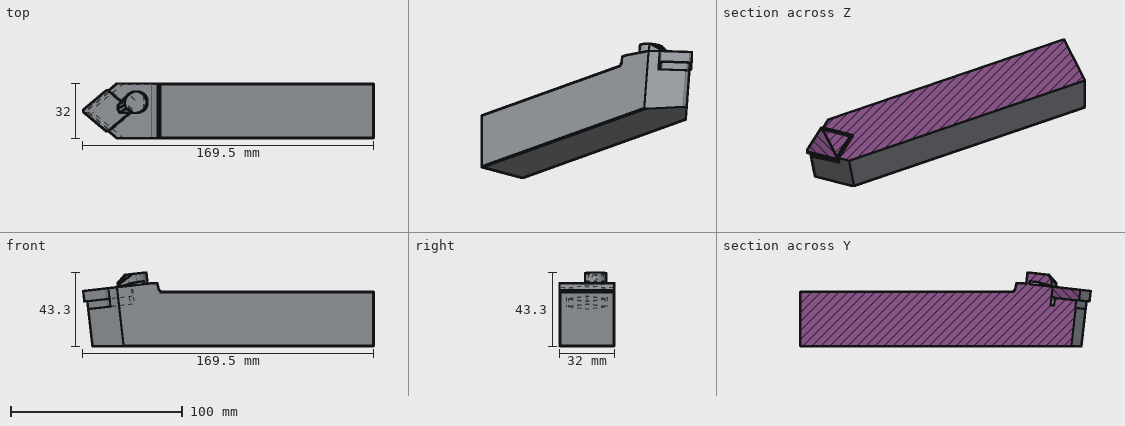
import cadquery as cq
import math

LENGTH = 169.5
WIDTH = 32.0
SHANK_HEIGHT = 32.0
SHANK_CHAMFER = 0.5

TILT = 6.5
TIP_HEIGHT = 32.4
HEAD_FLAT_START = 39.8
HEAD_FLAT_END = 43.4
HEAD_END = 44.3
FOOT_BEVEL = 1.0
HEAD_BASE = 8.5
HEAD_TOP = TIP_HEIGHT + HEAD_FLAT_START * math.tan(math.radians(TILT))

HALF_ANGLE = math.radians(40)
INSERT_INRADIUS = 9.5
INSERT_THICKNESS = 6.3
NOSE_RADIUS = 1.2
SHIM_INSET = 1.1
POINT_INSET = 0.93
SHIM_INRADIUS = INSERT_INRADIUS - SHIM_INSET
SHIM_THICKNESS = 4.5
POCKET_DEPTH = INSERT_THICKNESS + SHIM_THICKNESS
INSERT_CENTER = INSERT_INRADIUS / math.sin(HALF_ANGLE) - NOSE_RADIUS * (1 / math.sin(HALF_ANGLE) - 1)

POINT_RADIUS = 1.7
POINT_TIP = INSERT_CENTER - (INSERT_INRADIUS - POINT_INSET) / math.sin(HALF_ANGLE)
POINT_REACH = 220.5

CLAMP_X = 31.7
CLAMP_Y = 5.1
CLAMP_RADIUS = 6.3
CLAMP_TOP = 6.6
CLAMP_GAP = 1.5
HEEL_START = 35.8
ARM_NOSE_HEIGHT = 2.0
ARM_CONTACT_END = 22.0
ARM_SIDE_Y = CLAMP_Y - CLAMP_RADIUS
ARM_FOOT = [
    (27.3, 9.7),
    (20.5, 3.0),
    (20.3, 2.9),
    (20.3, 1.4),
    (21.7, ARM_SIDE_Y),
    (22.0, ARM_SIDE_Y),
    (CLAMP_X, ARM_SIDE_Y),
    (CLAMP_X, CLAMP_Y),
]
ARM_CROWN = [
    (27.3, 9.7),
    (26.8, 9.2),
    (26.6, 8.8),
    (25.5, 3.5),
    (26.1, 1.5),
    (30.0, ARM_SIDE_Y),
    (CLAMP_X, ARM_SIDE_Y),
    (CLAMP_X, CLAMP_Y),
]


def place_on_seat(body):
    """Move a body from seat coordinates (origin at the tip) to its tilted place."""
    return body.rotate((0, 0, 0), (0, 1, 0), -TILT).translate((0, 0, TIP_HEIGHT))


def rhombus(inradius, top, thickness):
    """Rhombic prism centred on the insert, hanging down from the given height."""
    half_length = inradius / math.sin(HALF_ANGLE)
    half_width = inradius / math.cos(HALF_ANGLE)
    corners = [(-half_length, 0), (0, -half_width), (half_length, 0), (0, half_width)]
    return (
        cq.Workplane("XY", origin=(INSERT_CENTER, 0, top))
        .polyline(corners).close().extrude(-thickness)
    )


def make_insert():
    blank = rhombus(INSERT_INRADIUS, 0, INSERT_THICKNESS)
    return place_on_seat(blank.edges("|Z").fillet(NOSE_RADIUS))


def make_blank():
    """Chamfered square shank with the raised head on its front end."""
    shank = (
        cq.Workplane("XY").box(LENGTH, WIDTH, SHANK_HEIGHT, centered=(False, True, False))
        .edges("|X or >X").chamfer(SHANK_CHAMFER)
    )
    head = (
        cq.Workplane("XZ", origin=(0, WIDTH / 2, 0))
        .polyline([
            (0, HEAD_BASE),
            (0, TIP_HEIGHT),
            (HEAD_FLAT_START, HEAD_TOP),
            (HEAD_FLAT_END, HEAD_TOP),
            (HEAD_END, SHANK_HEIGHT + FOOT_BEVEL),
            (HEAD_END + FOOT_BEVEL, SHANK_HEIGHT),
            (HEAD_END + FOOT_BEVEL, HEAD_BASE),
        ]).close().extrude(WIDTH)
    )
    return shank.union(head)


def make_point():
    """Long tilted wedge that trims the holder front to a rounded point."""
    half_width = POINT_REACH * math.tan(HALF_ANGLE)
    tail = POINT_TIP + POINT_REACH
    wedge = (
        cq.Workplane("XY").workplane(offset=-POINT_REACH / 2)
        .polyline([(POINT_TIP, 0), (tail, -half_width), (tail, half_width)]).close()
        .extrude(POINT_REACH)
        .edges("|Z and <X").fillet(POINT_RADIUS)
    )
    return place_on_seat(wedge)


def make_shim():
    shim = rhombus(SHIM_INRADIUS, -INSERT_THICKNESS, SHIM_THICKNESS)
    return place_on_seat(shim.edges("|Z").fillet(NOSE_RADIUS))


def make_arm():
    """Arm from the clamp disc to the insert, tapering down to a narrow nose."""
    nose = cq.Workplane("XY").polyline(ARM_FOOT).close().extrude(ARM_NOSE_HEIGHT)
    taper = (
        cq.Workplane("XY", origin=(0, 0, ARM_NOSE_HEIGHT)).polyline(ARM_FOOT).close()
        .workplane(offset=CLAMP_TOP - ARM_NOSE_HEIGHT).polyline(ARM_CROWN).close()
        .loft(ruled=True)
    )
    relief = (
        cq.Workplane("XZ", origin=(0, WIDTH / 2, 0))
        .polyline([(ARM_CONTACT_END, 0), (CLAMP_X, 0), (CLAMP_X, CLAMP_GAP)]).close()
        .extrude(WIDTH)
    )
    return nose.union(taper).cut(relief)


def make_clamp():
    """Clamp disc that stands on its rear heel and reaches the insert with its arm."""
    cylinder = cq.Workplane("XY", origin=(CLAMP_X, CLAMP_Y, 0)).circle(CLAMP_RADIUS).extrude(CLAMP_TOP)
    clearance = cq.Workplane("XY").box(HEEL_START, WIDTH, CLAMP_GAP, centered=(False, True, False))
    return place_on_seat(cylinder.cut(clearance).union(make_arm()))


def make_holder():
    pocket = place_on_seat(rhombus(INSERT_INRADIUS, 0, POCKET_DEPTH))
    body = make_blank().intersect(make_point()).cut(pocket)
    return body.union(make_shim()).union(make_clamp())


holder = make_holder()
insert = make_insert()

result = cq.Compound.makeCompound([*holder.solids().vals(), insert.val()])